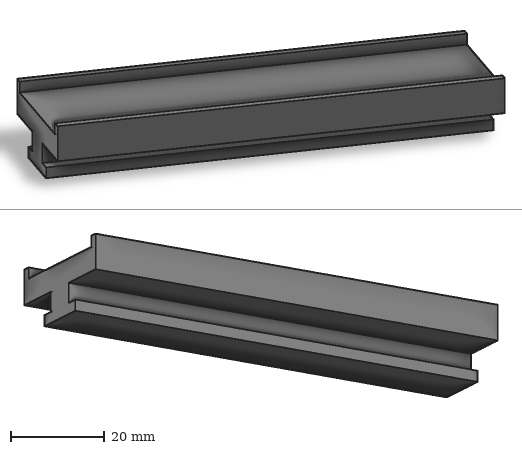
import cadquery as cq

length = 100.0
width = 30.0
height = 15.0

plate_height = 8.0
lip_width = 1.9
lip_height = 2.5

stem_width = 7.5
flange_width = 13.0
flange_height = 2.5


def long_bar(bar_width, bottom, top):
    """Bar centred on X and Y, running the full length between two heights."""
    return (
        cq.Workplane("XY")
        .workplane(offset=bottom)
        .rect(bar_width, length)
        .extrude(top - bottom)
    )


plate_bottom = height - plate_height
floor_level = height - lip_height

plate = long_bar(width, plate_bottom, height)
channel = long_bar(width - 2 * lip_width, floor_level, height)
stem = long_bar(stem_width, flange_height, plate_bottom)
flange = long_bar(flange_width, 0, flange_height)

result = plate.cut(channel).union(stem).union(flange)